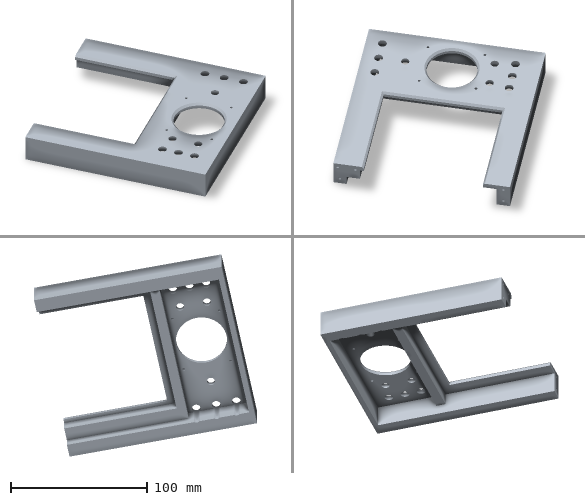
import cadquery as cq

length = 140.5
width = 132.2
height = 20.0
plate_thickness = 4.0
side_wall = 10.0
end_wall = 4.0

notch_depth = 77.8
notch_setback_back = 22.9
notch_setback_front = 20.4
notch_chamfer = 1.5

block_width = 20.0
rib_start = 84.3
rib_thickness = 7.0
step_depth = 12.6

bore_diameter = 37.5
bore_chamfer = 1.5
bore_from_end = 28.0
bore_from_back = 67.5
screw_diameter = 2.0
screw_spacing_x = 35.1
screw_spacing_y = 42.6
large_diameter = 6.5
medium_diameter = 6.0
back_row_offset = 55.0
back_row_pitch = 15.0
back_single_offset = 35.0
front_pair_offset = 30.0
front_pair_pitch = 20.1
front_row_offset = 45.1
front_row_pitch = 12.5

end_hole_diameter = 2.0
end_hole_depth = 10.0
upper_hole_drop = 3.7
lower_hole_drop = 15.0
front_end_hole_inset = 5.0
back_lower_inset = 4.9
back_outer_inset = 3.2
back_inner_inset = 16.5

x_min = -length / 2
x_max = length / 2
y_min = -width / 2
y_max = width / 2
bore_x = x_max - bore_from_end
bore_y = y_max - bore_from_back


def block(x0, x1, y0, y1, depth):
    """Box between the given sides, reaching from the top face (Z = 0) down to depth."""
    return cq.Workplane("XY").box(x1 - x0, y1 - y0, depth, centered=False).translate((x0, y0, -depth))


def drill(body, points, diameter):
    """Vertical through holes at the given points."""
    cutter = cq.Workplane("XY").pushPoints(points).circle(diameter / 2).extrude(-height)
    return body.cut(cutter)


def frame():
    """Plate with its side walls, end wall, thick arm block and cross rib."""
    body = block(x_min, x_max, y_min, y_max, plate_thickness)
    body = body.union(block(x_min, x_max, y_min, y_min + side_wall, height))
    body = body.union(block(x_min, x_max, y_max - side_wall, y_max, height))
    body = body.union(block(x_max - end_wall, x_max, y_min, y_max, height))
    rib_x = x_min + rib_start
    rib_end = rib_x + rib_thickness
    body = body.union(block(x_min, rib_end, y_max - block_width, y_max, step_depth))
    return body.union(block(rib_x, rib_end, y_min, y_max, step_depth))


def cut_notch(body):
    """Notch open toward -X, with its three upper edges chamfered."""
    x_back = x_min + notch_depth
    y_front = y_min + notch_setback_front
    y_back = y_max - notch_setback_back
    body = body.cut(block(x_min, x_back, y_front, y_back, plate_thickness))
    middle_x = (x_min + x_back) / 2
    middle_y = (y_front + y_back) / 2
    edge_middles = [(x_back, middle_y, 0), (middle_x, y_front, 0), (middle_x, y_back, 0)]
    selector = cq.selectors.NearestToPointSelector(edge_middles[0])
    for point in edge_middles[1:]:
        selector = selector + cq.selectors.NearestToPointSelector(point)
    return body.edges(selector).chamfer(notch_chamfer)


def cut_bore(body):
    """Large bore with a chamfered upper rim and four screw holes around it."""
    body = drill(body, [(bore_x, bore_y)], bore_diameter)
    rim = (
        cq.Workplane("XY")
        .center(bore_x, bore_y)
        .circle(bore_diameter / 2 + bore_chamfer)
        .workplane(offset=-bore_chamfer)
        .circle(bore_diameter / 2)
        .loft()
    )
    screws = [
        (bore_x + sx * screw_spacing_x / 2, bore_y + sy * screw_spacing_y / 2)
        for sx in (-1, 1)
        for sy in (-1, 1)
    ]
    return drill(body.cut(rim), screws, screw_diameter)


def cut_plate_holes(body):
    """Two rows of three large holes, a single medium hole and a medium pair."""
    large = []
    for step in (-1, 0, 1):
        large.append((bore_x + step * back_row_pitch, bore_y + back_row_offset))
        large.append((bore_x + step * front_row_pitch, bore_y - front_row_offset))
    medium = [(bore_x, bore_y + back_single_offset)]
    for side in (-1, 1):
        medium.append((bore_x + side * front_pair_pitch / 2, bore_y - front_pair_offset))
    return drill(drill(body, large, large_diameter), medium, medium_diameter)


def cut_end_holes(body):
    """Blind holes along X in the free ends of both arms."""
    positions = [
        (y_min + front_end_hole_inset, -upper_hole_drop),
        (y_min + front_end_hole_inset, -lower_hole_drop),
        (y_max - back_outer_inset, -upper_hole_drop),
        (y_max - back_inner_inset, -upper_hole_drop),
        (y_max - back_lower_inset, -lower_hole_drop),
    ]
    cutter = (
        cq.Workplane("YZ", origin=(x_min, 0, 0))
        .pushPoints(positions)
        .circle(end_hole_diameter / 2)
        .extrude(end_hole_depth)
    )
    return body.cut(cutter)


result = cut_end_holes(cut_plate_holes(cut_bore(cut_notch(frame()))))